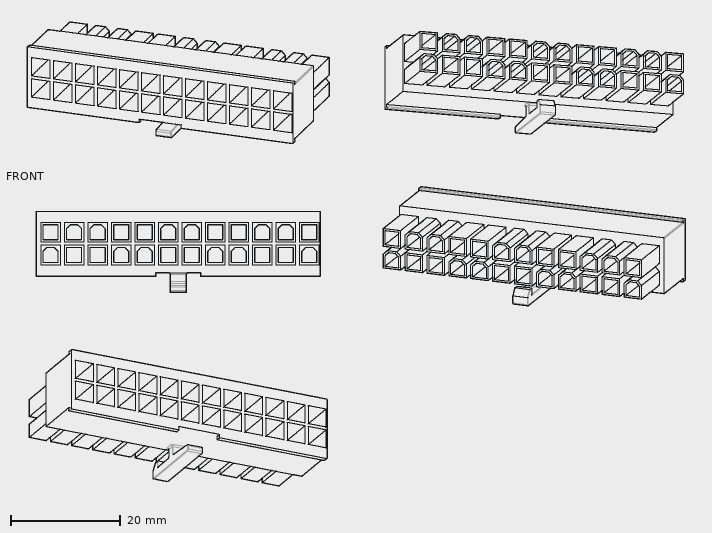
import cadquery as cq

width = 52.0
body_depth = 10.65
total_depth = 19.6
total_height = 14.8
flange_height = 11.9
body_height = 10.75
flange_rim_depth = 1.2
flange_root_depth = 0.95
edge_radius = 0.15
body_offset_z = 0.1

columns = 12
row_span = 47.3
first_column_x = 2.65
row_spacing = 4.15
rows_offset_z = 0.05
cell_size = 3.6
cell_depth = 9.35
sleeve_size = 3.45
sleeve_chamfer = 0.8
bore_size = 2.7
bore_chamfer = 0.7

latch_width = 3.0
latch_bottom_z = flange_height / 2 - total_height
latch_fillet = 0.3
latch_edge_radius = 0.1
tail_tip_y = 1.7
tail_tip_height = 1.25
arm_height = 1.65
stem_front_y = 8.1
stem_back_y = 9.8
hook_front_y = 14.4
hook_tip_y = 15.4
hook_back_y = 16.45
hook_height = 2.9
notch_width = 8.2

center_x = width / 2
flange_top = flange_height / 2
body_top = body_offset_z + body_height / 2
body_bottom = body_offset_z - body_height / 2
edge_reach = 0.05


def along_x(points, x_start, length):
    """Extrude a closed (y, z) outline along +X."""
    return cq.Workplane("YZ").workplane(offset=x_start).polyline(points).close().extrude(length)


def prism(x, z, size, y_start, y_end, chamfer=0.0):
    """Square prism along Y, with its two upper edges chamfered on request."""
    block = cq.Workplane("XY").box(size, y_end - y_start, size).translate((x, (y_start + y_end) / 2, z))
    if chamfer:
        block = block.faces(">Z").edges("|Y").chamfer(chamfer)
    return block


def edges_near(y, z):
    """Select the edges centred at the given y and z, anywhere along the width."""
    low_corner = (-edge_reach, y - edge_reach, z - edge_reach)
    high_corner = (width + edge_reach, y + edge_reach, z + edge_reach)
    return cq.selectors.BoxSelector(low_corner, high_corner)


def make_housing():
    """Body with an undercut flange around the top and bottom of its open face."""
    upper = [
        (0, flange_top),
        (flange_rim_depth, flange_top),
        (flange_root_depth, body_top),
        (body_depth, body_top),
    ]
    lower = [
        (body_depth, body_bottom),
        (flange_root_depth, body_bottom),
        (flange_rim_depth, -flange_top),
        (0, -flange_top),
    ]
    housing = along_x(upper + lower, 0, width)
    body_bottom_edges = edges_near((flange_root_depth + body_depth) / 2, body_bottom)
    end_edges = cq.selectors.StringSyntaxSelector("|Y") - body_bottom_edges
    rim_edges = edges_near(flange_rim_depth, flange_top) + edges_near(flange_rim_depth, -flange_top)
    housing = housing.edges(end_edges + rim_edges).fillet(edge_radius)
    notch_height = flange_top + body_bottom
    notch = cq.Workplane("XY").box(notch_width, 2 * flange_rim_depth, notch_height)
    return housing.cut(notch.translate((center_x, 0, (body_bottom - flange_top) / 2)))


def make_latch():
    """Rocking latch: sloped finger tail, stem and hook."""
    base = latch_bottom_z
    arm_top = base + arm_height
    outline = [
        (tail_tip_y, base),
        (tail_tip_y, base + tail_tip_height),
        (stem_front_y, arm_top),
        (stem_front_y, body_bottom),
        (stem_back_y, body_bottom),
        (stem_back_y, arm_top),
        (hook_front_y, arm_top),
        (hook_front_y, base + hook_height),
        (hook_tip_y, base + hook_height),
        (hook_back_y, arm_top),
        (hook_back_y, base),
    ]
    latch = along_x(outline, center_x - latch_width / 2, latch_width)
    latch = latch.faces("<Z").edges("|X").fillet(latch_fillet)
    tail_tip_edge = edges_near(tail_tip_y, base + tail_tip_height)
    stem_base_front = edges_near(stem_front_y, arm_top)
    stem_base_back = edges_near(stem_back_y, arm_top)
    latch = latch.edges(tail_tip_edge + stem_base_front + stem_base_back).fillet(latch_fillet)
    side_outlines = latch.faces("<X or >X").edges("not(|Y and >Z)")
    return side_outlines.fillet(latch_edge_radius)


def terminal_positions():
    """Yield x, z and whether the position is keyed by chamfered corners."""
    for column in range(columns):
        x = first_column_x + column * row_span / (columns - 1)
        middle_of_four = column % 4 in (1, 2)
        yield x, rows_offset_z + row_spacing / 2, middle_of_four
        yield x, rows_offset_z - row_spacing / 2, not middle_of_four


result = make_housing().union(make_latch())

stem_root = cq.selectors.BoxSelector(
    (center_x - latch_width, tail_tip_y, body_bottom - edge_reach),
    (center_x + latch_width, hook_front_y, body_bottom + edge_reach),
    boundingbox=True,
)
result = result.edges(stem_root).fillet(latch_fillet)

for x, z, keyed in terminal_positions():
    outer_chamfer = sleeve_chamfer if keyed else 0
    inner_chamfer = bore_chamfer if keyed else 0
    result = result.union(prism(x, z, sleeve_size, cell_depth, total_depth, outer_chamfer))
    result = result.cut(prism(x, z, cell_size, 0, cell_depth))
    result = result.cut(prism(x, z, bore_size, 0, total_depth, inner_chamfer))